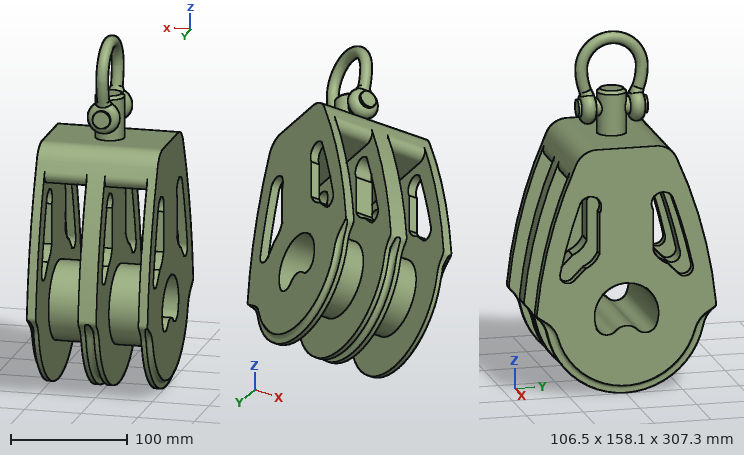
import cadquery as cq
import math


block_width = 106.5
outer_cheek = 8.0
middle_cheek = 2 * outer_cheek
rim_radius = 70.0

top_z = 148.0
top_half_width = 38.7
top_corner_radius = 19.7
side_mid = (66.7, 73.5)
side_corner = (79.3, 2.5)
side_corner_radius = 6
fairing_angle = 43
rim_fairing_radius = 27.7

bridge_bottom_z = 116.0
bridge_edge_radius = 8.0

block_reach = math.hypot(top_half_width, top_z) + top_corner_radius

hub_diameter = 69.8
bore_radius = 28.3
lobe_radius = 10.0
lobe_y = 17.0
bump_top_z = -9.5

window_inner_y = 23.7
window_top_center = (32.0, 97.0)
window_top_radius = 9.8
window_top_angle = 24
window_outer_mid = (50.7, 71.0)
window_lobe_center = (51.3, 38.7)
window_lobe_radius = 7.5
window_lobe_angle = 10
window_lower_angle = 45
window_corner_top_z = 56.0
window_corner_mid = (29.5, 47.5)
window_corner_end_y = 36.3

groove_floor_radius = 62.7
groove_half_width = 3.7
groove_height = 15.5
groove_end_angle = 15.7
groove_fairing_radius = 25.5
groove_fairing_sweep = 40
groove_run_out = 18.5

post_diameter = 25.5
post_top_z = 187.2
post_chamfer = 2.8
pin_diameter = 15.5
pin_length = 61.0
pin_z = 171.2
lug_y = 21.5
lug_section_radius = 6.5
bow_top_z = 237.3
bow_outer_radius = 32.0
wire_diameter = 10.5
leg_bend_radius = 54.5
leg_bend_angle = 20
neck_length = 6.8
neck_half_width = 8.5
neck_half_thickness = 5.8


def polar(center, radius, degrees):
    """Point at a given radius and angle from a centre."""
    angle = math.radians(degrees)
    return (center[0] + radius * math.cos(angle), center[1] + radius * math.sin(angle))


def mirrored(point):
    return (-point[0], point[1])


def plate(profile, width):
    """Extrude a side profile to a plate centred on the YZ plane."""
    return profile.extrude(width / 2, both=True)


def make_blank():
    """Full-width block with the outer contour of the cheeks."""
    corner_y, corner_z = side_corner
    slope = math.radians(fairing_angle)
    along_edge = corner_y * math.cos(slope) + corner_z * math.sin(slope)
    corner_power = corner_y**2 + corner_z**2 - rim_radius**2
    edge_length = along_edge - math.sqrt(along_edge**2 - corner_power)
    rim_point = polar(side_corner, -edge_length, fairing_angle)
    top_corner = (top_half_width, top_z)
    profile = (
        cq.Workplane("YZ")
        .moveTo(*mirrored(top_corner))
        .lineTo(*top_corner)
        .threePointArc(side_mid, side_corner)
        .lineTo(*rim_point)
        .threePointArc((0, -rim_radius), mirrored(rim_point))
        .lineTo(*mirrored(side_corner))
        .threePointArc(mirrored(side_mid), mirrored(top_corner))
        .close()
    )
    blank = plate(profile, block_width)
    for (y, z), radius in (
        (top_corner, top_corner_radius),
        (side_corner, side_corner_radius),
        (rim_point, rim_fairing_radius),
    ):
        for side in (-1, 1):
            edge = cq.selectors.NearestToPointSelector((0, side * y, z))
            blank = blank.edges("|X").edges(edge).fillet(radius)
    return blank


def make_body():
    """Three cheeks joined by the bridge and the hub."""
    blank = make_blank()
    bay_width = (block_width - 2 * outer_cheek - middle_cheek) / 2
    bay_x = (middle_cheek + bay_width) / 2
    bay_cut = plate(cq.Workplane("YZ").circle(block_reach), bay_width)
    bridge_space = (
        cq.Workplane("XY", origin=(0, 0, bridge_bottom_z))
        .rect(block_width, 2 * block_reach)
        .extrude(top_z - bridge_bottom_z)
    )
    bridge = blank.intersect(bridge_space).faces("<Z").edges("|X").fillet(bridge_edge_radius)
    hub = plate(cq.Workplane("YZ").circle(hub_diameter / 2), block_width)
    cheeks = blank
    for side in (-1, 1):
        cheeks = cheeks.cut(bay_cut.translate((side * bay_x, 0, 0)))
    return cheeks.union(bridge).union(hub)


def make_bore():
    """Round bore whose lower side is two lobes with a bump between them."""
    lobe_reach = bore_radius - lobe_radius
    lobe_z = -math.sqrt(lobe_reach**2 - lobe_y**2)
    lobe_center = (lobe_y, lobe_z)
    rise = lobe_z - bump_top_z
    bump_radius = (lobe_y**2 + rise**2 - lobe_radius**2) / (2 * (lobe_radius - rise))
    bump_z = bump_top_z - bump_radius
    bore_tangent_angle = math.degrees(math.atan2(lobe_z, lobe_y))
    bump_tangent_angle = math.degrees(math.atan2(bump_z - lobe_z, -lobe_y)) % 360 - 360
    bore_tangent = polar((0, 0), bore_radius, bore_tangent_angle)
    lobe_mid = polar(lobe_center, lobe_radius, (bore_tangent_angle + bump_tangent_angle) / 2)
    bump_tangent = polar(lobe_center, lobe_radius, bump_tangent_angle)
    profile = (
        cq.Workplane("YZ")
        .moveTo(*mirrored(bore_tangent))
        .threePointArc((0, bore_radius), bore_tangent)
        .threePointArc(lobe_mid, bump_tangent)
        .threePointArc((0, bump_top_z), mirrored(bump_tangent))
        .threePointArc(mirrored(lobe_mid), mirrored(bore_tangent))
        .close()
    )
    return plate(profile, block_width)


def make_window():
    """Window on the +Y side, following the curved outer edge of the cheeks."""
    top_y, top_center_z = window_top_center
    inner_drop = math.sqrt(window_top_radius**2 - (top_y - window_inner_y) ** 2)
    inner_top = (window_inner_y, top_center_z - inner_drop)
    top_mid = polar(window_top_center, window_top_radius, 90 + window_top_angle)
    outer_top = polar(window_top_center, window_top_radius, window_top_angle)
    outer_bottom = polar(window_lobe_center, window_lobe_radius, window_lobe_angle)
    lower_tangent_angle = -90 - window_lower_angle
    lobe_mid_angle = (window_lobe_angle + lower_tangent_angle) / 2
    lobe_mid = polar(window_lobe_center, window_lobe_radius, lobe_mid_angle)
    lower_tangent = polar(window_lobe_center, window_lobe_radius, lower_tangent_angle)
    lower_run = lower_tangent[0] - window_corner_end_y
    lower_rise = lower_run * math.tan(math.radians(window_lower_angle))
    profile = (
        cq.Workplane("YZ")
        .moveTo(*inner_top)
        .threePointArc(top_mid, outer_top)
        .threePointArc(window_outer_mid, outer_bottom)
        .threePointArc(lobe_mid, lower_tangent)
        .lineTo(window_corner_end_y, lower_tangent[1] + lower_rise)
        .threePointArc(window_corner_mid, (window_inner_y, window_corner_top_z))
        .close()
    )
    return plate(profile, block_width)


def make_groove():
    """Groove cutter centred on X = 0, swept along the groove floor."""
    arc_end = polar((0, 0), groove_floor_radius, -groove_end_angle)
    fairing_center = polar((0, 0), groove_floor_radius + groove_fairing_radius, -groove_end_angle)
    start_angle = 180 - groove_end_angle
    end_angle = start_angle - groove_fairing_sweep
    fairing_mid = polar(fairing_center, groove_fairing_radius, (start_angle + end_angle) / 2)
    fairing_end = polar(fairing_center, groove_fairing_radius, end_angle)
    run_out_end = polar(fairing_end, groove_run_out, end_angle - 90)
    path = (
        cq.Workplane("YZ")
        .moveTo(*run_out_end)
        .lineTo(*fairing_end)
        .threePointArc(fairing_mid, arc_end)
        .threePointArc((0, -groove_floor_radius), mirrored(arc_end))
        .threePointArc(mirrored(fairing_mid), mirrored(fairing_end))
        .lineTo(*mirrored(run_out_end))
    )
    tangent = polar((0, 0), 1, end_angle - 90)
    section_plane = cq.Plane(
        origin=(0, *run_out_end), xDir=(1, 0, 0), normal=(0, *tangent)
    )
    section = (
        cq.Workplane(section_plane)
        .moveTo(-groove_half_width, groove_height)
        .lineTo(-groove_half_width, groove_half_width)
        .threePointArc((0, 0), (groove_half_width, groove_half_width))
        .lineTo(groove_half_width, groove_height)
        .close()
    )
    return section.sweep(path)


def make_post():
    """Chamfered post rising from the bridge."""
    return (
        cq.Workplane("XY", origin=(0, 0, bridge_bottom_z + bridge_edge_radius))
        .circle(post_diameter / 2)
        .extrude(post_top_z - bridge_bottom_z - bridge_edge_radius)
        .faces(">Z")
        .chamfer(post_chamfer)
    )


def make_lug(side):
    """Ring-shaped shackle eye around the pin."""
    return (
        cq.Workplane("XY", origin=(0, side * lug_y, pin_z))
        .center(-pin_diameter / 2, 0)
        .circle(lug_section_radius)
        .revolve(360, (pin_diameter / 2, 0, 0), (pin_diameter / 2, 1, 0))
    )


def make_shackle():
    """Pin, two eyes and a bow of round wire with flared necks."""
    bow_radius = bow_outer_radius - wire_diameter / 2
    bow_center = (0, bow_top_z - bow_outer_radius)
    bow_side = polar(bow_center, bow_radius, 0)
    bend_center = (bow_side[0] - leg_bend_radius, bow_side[1])
    leg_mid = polar(bend_center, leg_bend_radius, -leg_bend_angle / 2)
    leg_end = polar(bend_center, leg_bend_radius, -leg_bend_angle)
    path = (
        cq.Workplane("YZ")
        .moveTo(*leg_end)
        .threePointArc(leg_mid, bow_side)
        .threePointArc(polar(bow_center, bow_radius, 90), mirrored(bow_side))
        .threePointArc(mirrored(leg_mid), mirrored(leg_end))
    )
    leg_direction = polar((0, 0), 1, -90 - leg_bend_angle)

    def leg_plane(side):
        """Plane across the end of a leg, facing the eye."""
        return cq.Plane(
            origin=(0, side * leg_end[0], leg_end[1]),
            xDir=(1, 0, 0),
            normal=(0, side * leg_direction[0], leg_direction[1]),
        )

    shackle = (
        cq.Workplane("XZ", origin=(0, pin_length / 2, pin_z))
        .circle(pin_diameter / 2)
        .extrude(pin_length)
    )
    for side in (-1, 1):
        neck = (
            cq.Workplane(leg_plane(side))
            .circle(wire_diameter / 2)
            .workplane(offset=neck_length)
            .ellipse(neck_half_width, neck_half_thickness)
            .loft()
        )
        shackle = shackle.union(make_lug(side)).union(neck)
    bow = cq.Workplane(leg_plane(1)).circle(wire_diameter / 2).sweep(path)
    return shackle.union(bow)


body = make_body().cut(make_bore())
window = make_window()
body = body.cut(window).cut(window.mirror("XZ"))
groove = make_groove()
for groove_x in (-block_width / 2, 0, block_width / 2):
    body = body.cut(groove.translate((groove_x, 0, 0)))

result = body.union(make_post()).union(make_shackle())